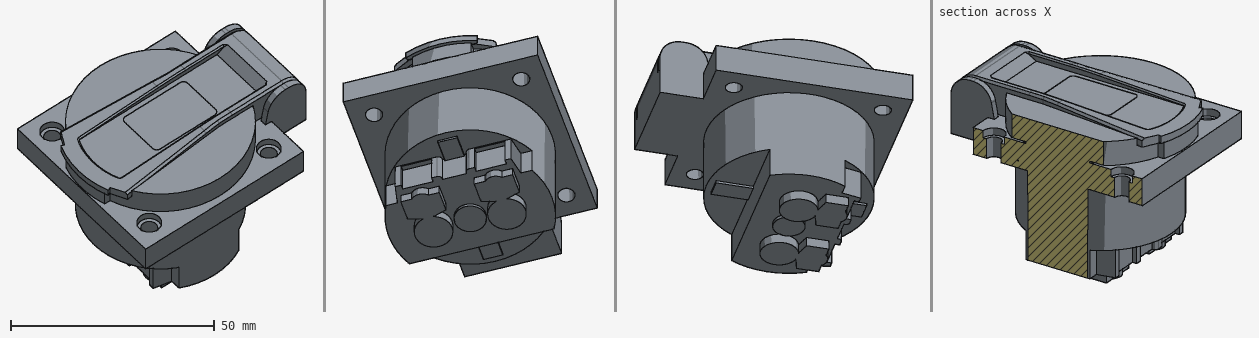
import cadquery as cq
import math


OVERALL_HEIGHT = 43.5

FLANGE_SIDE = 50.06
FLANGE_HEIGHT = 7.5
SCREW_PITCH = 37.9
SCREW_DIAMETER = 4.2
COUNTERBORE_DIAMETER = 6.1
COUNTERBORE_DEPTH = 2.0

NECK_RADIUS = 21.25
LID_GAP = 0.36
LID_RADIUS = 23.38
LID_BOTTOM = FLANGE_HEIGHT + LID_GAP
LID_TOP = 14.53
LIP_RADIUS = 25.8
BUMP_RADIUS = 25.0
BUMP_HALF_WIDTH = 7.57

ARM_TOP = 16.35
ARM_HALF_WIDTH = 10.33
ARM_TAPER_Y = 10.2
ARM_SLOPE = 0.045
ARM_BEND_Y = 10.0
ARM_BEND_LENGTH = 4.35
ARM_CHAMFER = 0.6
WING_HALF_WIDTH = 13.07
WING_CORNER_Y = -21.07
WING_END_HALF_WIDTH = 8.9
WING_END_Y = -23.2
WING_BOTTOM = 12.57
LIP_HALF_WIDTH = 9.25
LIP_BOTTOM = 12.8

POCKET_HALF_WIDTH = 8.43
POCKET_RIM = 0.4
POCKET_CORNER_RADIUS = 0.5
POCKET_BACK_Y = 27.5
POCKET_RAMP_LENGTH = 3.05
POCKET_END_SIDE_Y = -19.3
POCKET_END_Y = -21.4
LABEL_WIDTH = 13.5
LABEL_BACK_Y = 13.05
LABEL_FRONT_Y = -6.93
LABEL_CORNER_RADIUS = 1.3
LABEL_DEPTH = 0.1

HINGE_BACK_Y = 36.01
HINGE_HALF_WIDTH = 12.5
EAR_THICKNESS = 1.8
EAR_TOP = 16.25
HINGE_RADIUS = 5.54
BARREL_AXIS_Y = HINGE_BACK_Y - HINGE_RADIUS
EAR_FLAT = 1.05
EAR_LEAN = math.radians(11.2)

BODY_RADIUS = 21.0
BODY_STEP_Z = -16.8
BODY_BOTTOM = -24.65
BLOCK_BACK_Y = 9.7
BLOCK_SHELF_Y = -9.4
BLOCK_FRONT_Y = -14.4
SHELF_HALF_WIDTH = 15.9
FRONT_HALF_WIDTH = 14.9
RECESS_DEPTH = 1.25
RECESS_WIDTH = 7.8
RECESS_TOP = -17.2
TERMINAL_X = 9.45
SLOT_HALF_WIDTH = 3.08
SLOT_ROUNDING = 1.08
STRAP_WIDTH = 5.0
STRAP_LENGTH = 38.3
STRAP_BOTTOM = -17.45

TERMINAL_BOTTOM = ARM_TOP - OVERALL_HEIGHT
TERMINAL_RADIUS = 4.75
CLAMP_WIDTH = 9.9
CLAMP_BACK_Y = -5.66
CLAMP_FRONT_Y = -11.35
NOSE_WIDTH = 4.34
NOSE_TIP_Y = -12.25
CLAMP_NECK_WIDTH = 2.4
CLAMP_NECK_Y = -4.5
CENTRE_SCREW_RADIUS = 4.0
CENTRE_SCREW_BOTTOM = -25.5


def block(x_min, x_max, y_min, y_max, z_min, z_max):
    """Axis-aligned box given by its limits."""
    size = (x_max - x_min, y_max - y_min, z_max - z_min)
    return cq.Workplane("XY").box(*size, centered=False).translate((x_min, y_min, z_min))


def cylinder(radius, z_min, z_max, x=0.0):
    """Upright cylinder between two heights."""
    return cq.Workplane("XY").workplane(offset=z_min).center(x, 0).circle(radius).extrude(z_max - z_min)


def flange():
    """Square flange with four counterbored screw holes."""
    plate = block(
        -FLANGE_SIDE / 2, FLANGE_SIDE / 2, -FLANGE_SIDE / 2, FLANGE_SIDE / 2, 0, FLANGE_HEIGHT
    )
    return (
        plate.faces(">Z")
        .workplane(origin=(0, 0, FLANGE_HEIGHT))
        .rect(SCREW_PITCH, SCREW_PITCH, forConstruction=True)
        .vertices()
        .cboreHole(SCREW_DIAMETER, COUNTERBORE_DIAMETER, COUNTERBORE_DEPTH)
    )


def lid():
    """Round lid on a short neck, with a thumb bump in front."""
    neck = cylinder(NECK_RADIUS, FLANGE_HEIGHT, LID_BOTTOM)
    disc = cylinder(LID_RADIUS, LID_BOTTOM, LID_TOP)
    bump = cylinder(BUMP_RADIUS, LID_BOTTOM, LIP_BOTTOM).intersect(
        block(-BUMP_HALF_WIDTH, BUMP_HALF_WIDTH, -BUMP_RADIUS, 0, LID_BOTTOM, LIP_BOTTOM)
    )
    return neck.union(disc).union(bump)


def sloped_height(y):
    """Height of the sloping part of the arm's top at a given Y."""
    return ARM_TOP - ARM_SLOPE * (ARM_BEND_Y - y)


def arm_side_profile():
    """Arm profile from the side: level top, gentle bend, slope to the lip; rounded at the hinge."""
    bend_start = ARM_BEND_Y + ARM_BEND_LENGTH
    bend_end = ARM_BEND_Y - ARM_BEND_LENGTH
    diagonal = HINGE_RADIUS * math.sqrt(0.5)
    axis_z = ARM_TOP - HINGE_RADIUS
    return (
        cq.Workplane("YZ")
        .moveTo(HINGE_BACK_Y, LID_BOTTOM)
        .lineTo(HINGE_BACK_Y, axis_z)
        .threePointArc((BARREL_AXIS_Y + diagonal, axis_z + diagonal), (BARREL_AXIS_Y, ARM_TOP))
        .lineTo(bend_start, ARM_TOP)
        .tangentArcPoint((bend_end, sloped_height(bend_end)), relative=False)
        .lineTo(-LIP_RADIUS, sloped_height(-LIP_RADIUS))
        .lineTo(-LIP_RADIUS, LID_BOTTOM)
        .close()
        .extrude(WING_HALF_WIDTH, both=True)
    )


def arm_outline():
    """Plan of the arm: parallel at the hinge, widening to the wings, rounded lip in front."""
    lip_y = -math.sqrt(LIP_RADIUS**2 - LIP_HALF_WIDTH**2)
    return (
        cq.Workplane("XY")
        .workplane(offset=LID_BOTTOM)
        .moveTo(-ARM_HALF_WIDTH, HINGE_BACK_Y)
        .lineTo(-ARM_HALF_WIDTH, ARM_TAPER_Y)
        .lineTo(-WING_HALF_WIDTH, WING_CORNER_Y)
        .lineTo(-WING_END_HALF_WIDTH, WING_END_Y)
        .lineTo(-LIP_HALF_WIDTH, lip_y)
        .threePointArc((0, -LIP_RADIUS), (LIP_HALF_WIDTH, lip_y))
        .lineTo(WING_END_HALF_WIDTH, WING_END_Y)
        .lineTo(WING_HALF_WIDTH, WING_CORNER_Y)
        .lineTo(ARM_HALF_WIDTH, ARM_TAPER_Y)
        .lineTo(ARM_HALF_WIDTH, HINGE_BACK_Y)
        .close()
        .extrude(ARM_TOP - LID_BOTTOM)
    )


def pocket():
    """Straight-walled pocket down to the lid's top plane, with a bowed front end."""
    half_width = POCKET_HALF_WIDTH - POCKET_RIM
    back_y = POCKET_BACK_Y - POCKET_RIM
    return (
        cq.Workplane("XY")
        .workplane(offset=LID_TOP)
        .moveTo(-half_width, back_y)
        .lineTo(-half_width, POCKET_END_SIDE_Y)
        .threePointArc((0, POCKET_END_Y + POCKET_RIM), (half_width, POCKET_END_SIDE_Y))
        .lineTo(half_width, back_y)
        .close()
        .extrude(ARM_TOP - LID_TOP)
        .edges("|Z")
        .edges("<Y")
        .fillet(POCKET_CORNER_RADIUS)
    )


def pocket_ramp():
    """Wedge that slopes the hinge end of the pocket up to the arm's top."""
    return (
        cq.Workplane("YZ")
        .moveTo(POCKET_BACK_Y, ARM_TOP)
        .lineTo(POCKET_BACK_Y, LID_TOP)
        .lineTo(POCKET_BACK_Y - POCKET_RAMP_LENGTH, LID_TOP)
        .close()
        .extrude(POCKET_HALF_WIDTH, both=True)
    )


def edges_inside(solid, x_min, x_max, y_min, y_max, z_min):
    """Edges of the arm whose middles lie in the given limits and above z_min."""
    z_max = ARM_TOP + ARM_CHAMFER
    return solid.edges(cq.selectors.BoxSelector((x_min, y_min, z_min), (x_max, y_max, z_max)))


def label_recess():
    """Shallow rounded recess for a label in the pocket floor."""
    length = LABEL_BACK_Y - LABEL_FRONT_Y
    return (
        cq.Workplane("XY")
        .workplane(offset=LID_TOP - LABEL_DEPTH)
        .center(0, (LABEL_BACK_Y + LABEL_FRONT_Y) / 2)
        .rect(LABEL_WIDTH, length)
        .extrude(LABEL_DEPTH)
        .edges("|Z")
        .fillet(LABEL_CORNER_RADIUS)
    )


def arm():
    """Chamfered arm with its pocket, undercut where it overhangs the lid."""
    solid = arm_side_profile().intersect(arm_outline())
    sides = (
        (-WING_HALF_WIDTH, -ARM_HALF_WIDTH + ARM_CHAMFER),
        (ARM_HALF_WIDTH - ARM_CHAMFER, WING_HALF_WIDTH),
    )
    for x_min, x_max in sides:
        upper_edges = edges_inside(solid, x_min, x_max, WING_CORNER_Y, HINGE_BACK_Y, WING_BOTTOM)
        solid = upper_edges.chamfer(ARM_CHAMFER)
    solid = solid.cut(pocket())
    rim = edges_inside(
        solid, -POCKET_HALF_WIDTH, POCKET_HALF_WIDTH, POCKET_END_Y, POCKET_BACK_Y, LID_TOP + POCKET_RIM
    )
    solid = rim.chamfer(POCKET_RIM).union(pocket_ramp())
    underside = block(
        -WING_HALF_WIDTH, WING_HALF_WIDTH, -LIP_RADIUS, 0, LID_BOTTOM, WING_BOTTOM
    )
    lip_underside = block(
        -LIP_HALF_WIDTH, LIP_HALF_WIDTH, -LIP_RADIUS, -LID_RADIUS, LID_BOTTOM, LIP_BOTTOM
    )
    return solid.cut(underside).cut(lip_underside)


def hinge_ear():
    """One hinge ear: upright back, rounded crown and a leaning front edge."""
    axis_z = EAR_TOP - HINGE_RADIUS
    diagonal = HINGE_RADIUS * math.sqrt(0.5)
    front_axis_y = BARREL_AXIS_Y - EAR_FLAT
    tangent_y = front_axis_y - HINGE_RADIUS * math.cos(EAR_LEAN)
    tangent_z = axis_z + HINGE_RADIUS * math.sin(EAR_LEAN)
    foot_y = tangent_y - (tangent_z - FLANGE_HEIGHT) * math.tan(EAR_LEAN)
    flange_back_y = FLANGE_SIDE / 2
    return (
        cq.Workplane("YZ")
        .moveTo(HINGE_BACK_Y, 0)
        .lineTo(HINGE_BACK_Y, axis_z)
        .threePointArc((BARREL_AXIS_Y + diagonal, axis_z + diagonal), (BARREL_AXIS_Y, EAR_TOP))
        .lineTo(front_axis_y, EAR_TOP)
        .tangentArcPoint((tangent_y, tangent_z), relative=False)
        .lineTo(foot_y, FLANGE_HEIGHT)
        .lineTo(flange_back_y, FLANGE_HEIGHT)
        .lineTo(flange_back_y, 0)
        .close()
        .extrude(EAR_THICKNESS)
    )


def hinge():
    """Hinge base behind the flange with an ear at each end."""
    base = block(
        -HINGE_HALF_WIDTH, HINGE_HALF_WIDTH, FLANGE_SIDE / 2, HINGE_BACK_Y, 0, LID_BOTTOM
    )
    left_ear = hinge_ear().translate((-HINGE_HALF_WIDTH, 0, 0))
    return base.union(left_ear).union(left_ear.mirror("YZ"))


def terminal_block():
    """Lower block: the body's round flank behind, stepping in to a narrower flat front."""
    height = BODY_STEP_Z - BODY_BOTTOM
    footprint = (
        cq.Workplane("XY")
        .workplane(offset=BODY_BOTTOM)
        .polyline([
            (-BODY_RADIUS, BLOCK_BACK_Y),
            (-BODY_RADIUS, BLOCK_SHELF_Y),
            (-SHELF_HALF_WIDTH, BLOCK_SHELF_Y),
            (-FRONT_HALF_WIDTH, BLOCK_FRONT_Y),
            (FRONT_HALF_WIDTH, BLOCK_FRONT_Y),
            (SHELF_HALF_WIDTH, BLOCK_SHELF_Y),
            (BODY_RADIUS, BLOCK_SHELF_Y),
            (BODY_RADIUS, BLOCK_BACK_Y),
        ])
        .close()
        .extrude(height)
    )
    solid = footprint.intersect(cylinder(BODY_RADIUS, BODY_BOTTOM, BODY_STEP_Z))
    recess_back_y = BLOCK_FRONT_Y + RECESS_DEPTH
    slot = block(
        -SLOT_HALF_WIDTH, SLOT_HALF_WIDTH, BLOCK_FRONT_Y, recess_back_y, BODY_BOTTOM, BODY_STEP_Z
    )
    solid = solid.cut(slot)
    mouth = cq.selectors.BoxSelector(
        (-FRONT_HALF_WIDTH / 2, BLOCK_FRONT_Y - SLOT_ROUNDING / 2, BODY_BOTTOM),
        (FRONT_HALF_WIDTH / 2, BLOCK_FRONT_Y + SLOT_ROUNDING / 2, BODY_STEP_Z),
    )
    solid = solid.edges("|Z").edges(mouth).fillet(SLOT_ROUNDING)
    for x in (-TERMINAL_X, TERMINAL_X):
        half = RECESS_WIDTH / 2
        solid = solid.cut(block(x - half, x + half, BLOCK_FRONT_Y, recess_back_y, BODY_BOTTOM, RECESS_TOP))
    return solid


def terminal(x):
    """Round terminal post with a clamp plate in front, its back sloping in to meet the post."""
    height = BODY_BOTTOM - TERMINAL_BOTTOM
    half_width = CLAMP_WIDTH / 2
    half_nose = NOSE_WIDTH / 2
    half_neck = CLAMP_NECK_WIDTH / 2
    post = cylinder(TERMINAL_RADIUS, TERMINAL_BOTTOM, BODY_BOTTOM, x)
    clamp = (
        cq.Workplane("XY")
        .workplane(offset=TERMINAL_BOTTOM)
        .center(x, 0)
        .moveTo(-half_neck, CLAMP_NECK_Y)
        .lineTo(-half_width, CLAMP_BACK_Y)
        .lineTo(-half_width, CLAMP_FRONT_Y)
        .lineTo(-half_nose, CLAMP_FRONT_Y)
        .threePointArc((0, NOSE_TIP_Y), (half_nose, CLAMP_FRONT_Y))
        .lineTo(half_width, CLAMP_FRONT_Y)
        .lineTo(half_width, CLAMP_BACK_Y)
        .lineTo(half_neck, CLAMP_NECK_Y)
        .close()
        .extrude(height)
    )
    return post.union(clamp)


def body():
    """Round body with its terminal block, earth strap and terminals."""
    strap = block(
        -STRAP_WIDTH / 2, STRAP_WIDTH / 2, -STRAP_LENGTH / 2, STRAP_LENGTH / 2, STRAP_BOTTOM, BODY_STEP_Z
    )
    solid = cylinder(BODY_RADIUS, BODY_STEP_Z, 0).union(terminal_block()).union(strap)
    solid = solid.union(cylinder(CENTRE_SCREW_RADIUS, CENTRE_SCREW_BOTTOM, BODY_BOTTOM))
    for x in (-TERMINAL_X, TERMINAL_X):
        solid = solid.union(terminal(x))
    return solid


cover = lid().union(arm()).cut(label_recess())
result = flange().union(body()).union(hinge()).union(cover)